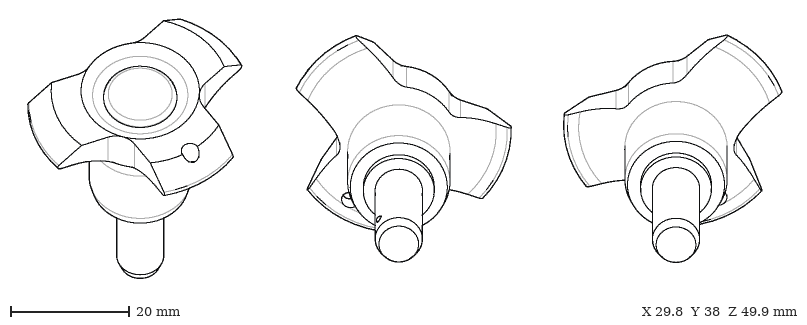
import cadquery as cq
import math

TIP_Z = -21.4
SHAFT_END_CHAMFER = 2.0
COLLAR_HEIGHT = 1.5
BODY_CHAMFER_HEIGHT = 2.0
FLARE_START_Z = 15.8
TOP_Z = 28.5

TIP_RADIUS = 3.35
SHAFT_RADIUS = 4.0
COLLAR_RADIUS = 6.0
BODY_END_RADIUS = 8.2
BODY_RADIUS = 8.65
FLARE_RADIUS = 7.8
RIM_RADIUS = 19.0
TOP_RADIUS = 15.05
FLARE_END_Z = FLARE_START_Z + FLARE_RADIUS

HUB_RADIUS = 10.0
ARM_WIDTH = 14.0
SIDE_ARM_ANGLE = 103.0
ARM_FILLET = 3.8
LANYARD_HOLE_DIAMETER = 3.0
LANYARD_HOLE_X = 15.0

BOWL_RIM_RADIUS = 8.05
BOWL_RIM_DEPTH = 1.25
BOWL_SPHERE_RADIUS = 19.0

BUTTON_RADIUS = 6.2
BUTTON_ROUND = 0.8
BUTTON_EDGE_DEPTH = 1.0
BUTTON_DOME_HEIGHT = 0.4

BALL_RADIUS = 0.75
BALL_PROTRUSION = 0.33
BALL_Z = -16.05

SIN_45 = math.sqrt(0.5)


def turned_body():
    """Tip, shaft, collar, body, flare and bevelled rim as one solid of revolution."""
    flare_center_r = BODY_RADIUS + FLARE_RADIUS
    flare_mid = (
        flare_center_r - FLARE_RADIUS * SIN_45,
        FLARE_START_Z + FLARE_RADIUS * SIN_45,
    )
    rim_round = (TOP_RADIUS + TOP_Z - RIM_RADIUS - FLARE_END_Z) * SIN_45
    rim_center_r = RIM_RADIUS - rim_round
    rim_center_z = FLARE_END_Z + rim_round
    profile = (
        cq.Workplane("XZ")
        .moveTo(0, TIP_Z)
        .lineTo(TIP_RADIUS, TIP_Z)
        .lineTo(SHAFT_RADIUS, TIP_Z + SHAFT_END_CHAMFER)
        .lineTo(SHAFT_RADIUS, 0)
        .lineTo(COLLAR_RADIUS, 0)
        .lineTo(COLLAR_RADIUS, COLLAR_HEIGHT)
        .lineTo(BODY_END_RADIUS, COLLAR_HEIGHT)
        .lineTo(BODY_RADIUS, COLLAR_HEIGHT + BODY_CHAMFER_HEIGHT)
        .lineTo(BODY_RADIUS, FLARE_START_Z)
        .threePointArc(flare_mid, (flare_center_r, FLARE_END_Z))
        .lineTo(rim_center_r, FLARE_END_Z)
        .threePointArc(
            (RIM_RADIUS, rim_center_z),
            (rim_center_r + rim_round * SIN_45, rim_center_z + rim_round * SIN_45),
        )
        .lineTo(TOP_RADIUS, TOP_Z)
        .lineTo(0, TOP_Z)
        .close()
    )
    return profile.revolve(360, (0, 0, 0), (0, 1, 0))


def handle_outline():
    """Full-height prism of the hub with its three arms, all inner corners rounded."""
    height = TOP_Z - TIP_Z
    arm_reach = RIM_RADIUS + 1.0
    arm = (
        cq.Workplane("XY", origin=(0, 0, TIP_Z))
        .rect(arm_reach, ARM_WIDTH)
        .extrude(height)
        .translate((arm_reach / 2, 0, 0))
    )
    prism = arm
    for angle in (SIDE_ARM_ANGLE, -SIDE_ARM_ANGLE):
        prism = prism.union(arm.rotate((0, 0, 0), (0, 0, 1), angle))

    half_width = ARM_WIDTH / 2
    front_corner_x = half_width / math.tan(math.radians(SIDE_ARM_ANGLE / 2))
    prism = round_corners(prism, front_corner_x, half_width)

    hub = cq.Workplane("XY", origin=(0, 0, TIP_Z)).circle(HUB_RADIUS).extrude(height)
    back_angle = math.radians(SIDE_ARM_ANGLE) + math.asin(half_width / HUB_RADIUS)
    back_x = HUB_RADIUS * math.cos(back_angle)
    back_y = HUB_RADIUS * math.sin(back_angle)
    return round_corners(prism.union(hub), back_x, back_y)


def round_corners(prism, corner_x, corner_y):
    """Fillet the two vertical edges at (corner_x, +/-corner_y)."""
    middle_z = (TOP_Z + TIP_Z) / 2
    for side in (1, -1):
        nearest = cq.selectors.NearestToPointSelector((corner_x, side * corner_y, middle_z))
        prism = prism.edges("|Z").edges(nearest).fillet(ARM_FILLET)
    return prism


def dish():
    """Material removed from the top around the button."""
    bowl_rim_z = TOP_Z - BOWL_RIM_DEPTH
    sphere_center_z = bowl_rim_z + math.sqrt(BOWL_SPHERE_RADIUS**2 - BOWL_RIM_RADIUS**2)
    bowl_mid_r = BOWL_RIM_RADIUS / 2
    bowl_mid_z = sphere_center_z - math.sqrt(BOWL_SPHERE_RADIUS**2 - bowl_mid_r**2)
    profile = (
        cq.Workplane("XZ")
        .moveTo(0, TOP_Z)
        .lineTo(0, sphere_center_z - BOWL_SPHERE_RADIUS)
        .threePointArc((bowl_mid_r, bowl_mid_z), (BOWL_RIM_RADIUS, bowl_rim_z))
        .lineTo(HUB_RADIUS, TOP_Z)
        .close()
    )
    return profile.revolve(360, (0, 0, 0), (0, 1, 0))


def button():
    """Push button with a rounded edge and a shallow domed top, rooted below the bowl."""
    edge_z = TOP_Z - BUTTON_EDGE_DEPTH
    round_center_r = BUTTON_RADIUS - BUTTON_ROUND
    round_center_z = edge_z - BUTTON_ROUND
    dome_radius = (round_center_r**2 + BUTTON_DOME_HEIGHT**2) / (2 * BUTTON_DOME_HEIGHT)
    dome_top_z = edge_z + BUTTON_DOME_HEIGHT
    dome_mid_r = round_center_r / 2
    dome_mid_z = dome_top_z - dome_radius + math.sqrt(dome_radius**2 - dome_mid_r**2)
    profile = (
        cq.Workplane("XZ")
        .moveTo(0, FLARE_END_Z)
        .lineTo(BUTTON_RADIUS, FLARE_END_Z)
        .lineTo(BUTTON_RADIUS, round_center_z)
        .threePointArc(
            (round_center_r + BUTTON_ROUND * SIN_45, round_center_z + BUTTON_ROUND * SIN_45),
            (round_center_r, edge_z),
        )
        .threePointArc((dome_mid_r, dome_mid_z), (0, dome_top_z))
        .close()
    )
    return profile.revolve(360, (0, 0, 0), (0, 1, 0))


def lanyard_hole():
    """Through hole near the end of the +X arm."""
    return (
        cq.Workplane("XY", origin=(LANYARD_HOLE_X, 0, FLARE_START_Z))
        .circle(LANYARD_HOLE_DIAMETER / 2)
        .extrude(TOP_Z - FLARE_START_Z)
    )


def locking_ball():
    """Small ball standing slightly proud of the shaft."""
    center_y = SHAFT_RADIUS + BALL_PROTRUSION - BALL_RADIUS
    return cq.Workplane("XY").sphere(BALL_RADIUS).translate((0, center_y, BALL_Z))


handle = turned_body().intersect(handle_outline()).cut(dish()).union(button())
result = handle.cut(lanyard_hole()).union(locking_ball())